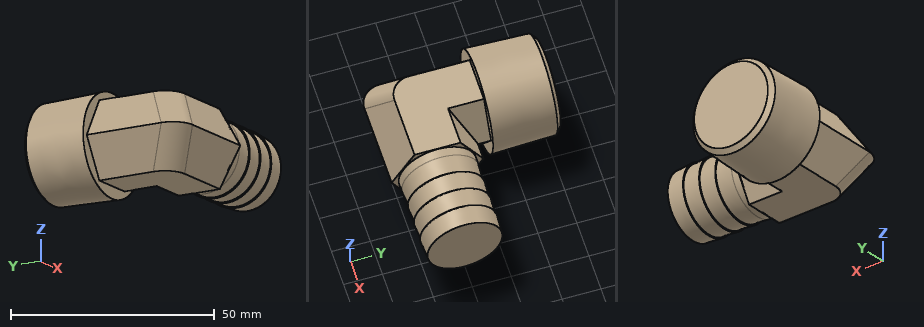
import cadquery as cq
import math


across_flats = 20.5
half_height = across_flats / 2
half_across_corners = half_height / math.cos(math.radians(30))
barb_leg_length = 16.3
corner_radius = 5.6

male_base_y = 15.15
male_end_y = 33.12
male_base_radius = 13.5
male_taper = 1 / 16
chamfer_length = 1.2
chamfer_depth = 1.35

tail_end_x = 39.0
barb_count = 4
barb_length = 5.08
barb_crest_radius = 10.0
barb_root_radius = 9.65


def elbow_outline(z, half_width):
    """L-shaped slice through the elbow, both legs having the given half width."""
    outer = -half_width
    tangent = outer + corner_radius
    arc_mid = tangent - corner_radius * math.sqrt(0.5)
    return (
        cq.Workplane("XY", origin=(0, 0, z))
        .moveTo(outer, male_base_y)
        .lineTo(outer, tangent)
        .threePointArc((arc_mid, arc_mid), (tangent, outer))
        .lineTo(barb_leg_length, outer)
        .lineTo(barb_leg_length, half_width)
        .lineTo(half_width, half_width)
        .lineTo(half_width, male_base_y)
        .close()
        .val()
    )


def make_elbow():
    """Two mitred hexagonal legs with corners at Z = 0 and flats at top and bottom."""
    middle = elbow_outline(0, half_across_corners)
    flat = elbow_outline(half_height, half_across_corners / 2)
    upper_half = cq.Workplane(cq.Solid.makeLoft([middle, flat], True))
    return upper_half.union(upper_half.mirror("XY"))


def make_male_end():
    """Solid tapered plug with a chamfered end."""
    rim_y = male_end_y - chamfer_length
    rim_radius = male_base_radius - (rim_y - male_base_y) * male_taper / 2
    return (
        cq.Workplane("YZ")
        .moveTo(male_base_y, 0)
        .lineTo(male_base_y, male_base_radius)
        .lineTo(rim_y, rim_radius)
        .lineTo(male_end_y, rim_radius - chamfer_depth)
        .lineTo(male_end_y, 0)
        .close()
        .revolve(360, (0, 0, 0), (1, 0, 0))
    )


def make_hose_tail():
    """Short plain collar followed by barbs that narrow toward the free end."""
    first_barb_x = tail_end_x - barb_count * barb_length
    profile = (
        cq.Workplane("XZ")
        .moveTo(barb_leg_length, 0)
        .lineTo(barb_leg_length, barb_crest_radius)
    )
    for index in range(barb_count):
        barb_start_x = first_barb_x + index * barb_length
        profile = profile.lineTo(barb_start_x, barb_crest_radius)
        profile = profile.lineTo(barb_start_x + barb_length, barb_root_radius)
    return (
        profile
        .lineTo(tail_end_x, 0)
        .close()
        .revolve(360, (0, 0, 0), (1, 0, 0))
    )


result = make_elbow().union(make_male_end()).union(make_hose_tail())